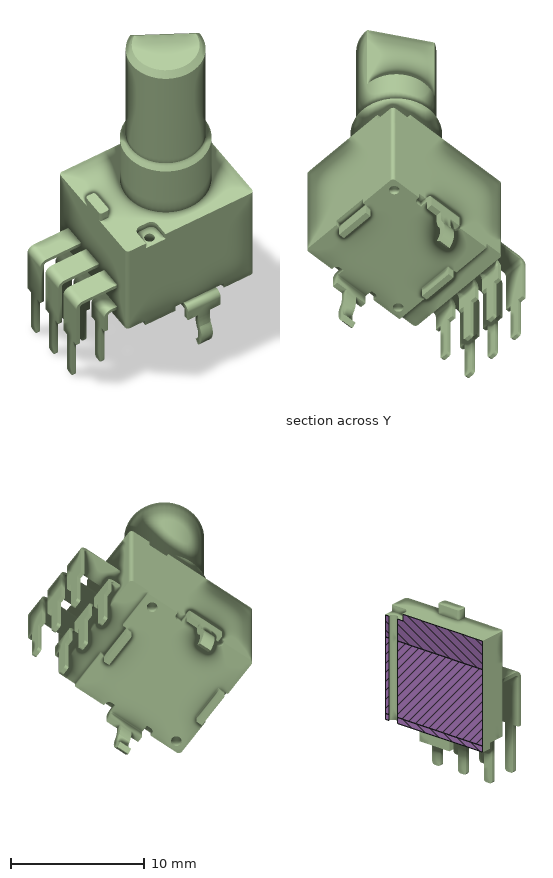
import cadquery as cq
import math


body_width = 9.5
body_rear = 4.85
body_front = -6.5
body_corner_radius = 0.28
housing_top = 6.35
cover_top = 8.7

bushing_diameter = 6.9
bushing_top = 13.75
shaft_diameter = 6.0
shaft_top = 23.7
shaft_top_chamfer = 0.45
flat_bottom = 16.75
flat_distance = shaft_diameter / 4
flat_direction = 150

hole_diameter = 0.8
hole_offset = 4.0
recess_reach = 0.95
recess_width = 1.75
recess_depth = 0.55
recess_corner_radius = 0.55

lug_width = 2.08
lug_depth = 0.83
lug_top = 9.52
lug_corner_radius = 0.2

sheet = 0.48
bend_outer_radius = sheet
bend_inner_radius = 0.09
tab_width = 2.9
tab_bottom = -1.37
tab_face = 4.53
relief_width = 0.7
relief_depth = 0.5
relief_corner_radius = 0.37
clip_width = 1.0
clip_face = 5.4
spring_start = -1.77
clip_span = 11.6
spring_reach = clip_span / 2
spring_radius = 1.7
spring_upper_angle = 34.5
spring_lower_angle = 45

lowest = -4.8
terminal_pitch = 2.5
terminal_thickness = 0.3
terminal_width = 1.8
terminal_bend_radius = 0.6
shoulder_height = -0.8
leg_width = 0.8
leg_tip_radius = 0.23
upper_row_face = -10.15
upper_row_top = 3.8
lower_row_face = upper_row_face + terminal_pitch
lower_row_top = 1.35

half_width = body_width / 2


def box(x_range, y_range, z_range):
    """Block between two X, two Y and two Z positions."""
    size = [high - low for low, high in (x_range, y_range, z_range)]
    corner = (x_range[0], y_range[0], z_range[0])
    return cq.Workplane("XY").box(*size, centered=False).translate(corner)


def cylinder(diameter, bottom, top):
    """Cylinder on the shaft axis."""
    return cq.Workplane("XY").workplane(offset=bottom).circle(diameter / 2).extrude(top - bottom)


def body_block(bottom, top):
    """Round-cornered block with the housing outline."""
    block = box((-half_width, half_width), (body_front, body_rear), (bottom, top))
    return block.edges("|Z").fillet(body_corner_radius)


def corner_holes(bottom, top):
    """Cutters for the two holes in opposite corners."""
    centres = [(-hole_offset, hole_offset), (hole_offset, -hole_offset)]
    plane = cq.Workplane("XY").workplane(offset=bottom)
    return plane.pushPoints(centres).circle(hole_diameter / 2).extrude(top - bottom)


def make_housing():
    return body_block(0, housing_top).cut(corner_holes(0, housing_top))


def left_recess():
    """Cutter for the rear left recess, open to the rear and the left."""
    inner_x = -hole_offset + recess_reach
    inner_y = hole_offset - recess_reach
    recess = box((-half_width, inner_x), (inner_y, body_rear), (cover_top - recess_depth, cover_top))
    return recess.edges("|Z and >X and <Y").fillet(recess_corner_radius)


def right_recess():
    """Cutter for the front right recess, open to the right only."""
    inner_y = -hole_offset + recess_reach
    y_range = (inner_y - recess_width, inner_y)
    inner_x = hole_offset - recess_reach
    recess = box((inner_x, half_width), y_range, (cover_top - recess_depth, cover_top))
    return recess.edges("|Z and <X").fillet(recess_corner_radius)


def make_bushing():
    """Sleeve around the shaft, its top chamfered down to the bore edge."""
    outer_radius = bushing_diameter / 2
    bore_radius = shaft_diameter / 2
    chamfer_start = bushing_top - (outer_radius - bore_radius)
    outline = [
        (bore_radius, cover_top),
        (outer_radius, cover_top),
        (outer_radius, chamfer_start),
        (bore_radius, bushing_top),
    ]
    return cq.Workplane("XZ").polyline(outline).close().revolve(360, (0, 0, 0), (0, 1, 0))


def make_cover():
    """Cover with its bushing, locating lug, corner recesses and shaft bore."""
    cover = body_block(housing_top, cover_top)
    lug = box((-lug_width / 2, lug_width / 2), (body_front, body_front + lug_depth), (cover_top, lug_top))
    lug = lug.edges("|Z").fillet(lug_corner_radius)
    cover = cover.union(make_bushing()).union(lug)
    cover = cover.cut(left_recess()).cut(right_recess())
    cover = cover.cut(corner_holes(housing_top, cover_top))
    return cover.cut(cylinder(shaft_diameter, housing_top, cover_top))


def make_shaft():
    """Shaft with one flat, chamfered around its D-shaped end."""
    shaft = cylinder(shaft_diameter, housing_top, shaft_top)
    flat = box((flat_distance, shaft_diameter), (-shaft_diameter, shaft_diameter), (flat_bottom, shaft_top))
    shaft = shaft.cut(flat.rotate((0, 0, 0), (0, 0, 1), flat_direction))
    return shaft.faces(">Z").chamfer(shaft_top_chamfer)


def bent_tab(inner, face):
    """Sheet running along +X from inner, then bent down with its outer side at face."""
    arm = box((inner, face), (-tab_width / 2, tab_width / 2), (-sheet, 0))
    tab = box((face - sheet, face), (-tab_width / 2, tab_width / 2), (tab_bottom, 0))
    bent = arm.union(tab)
    bent = bent.edges("|Y and >X and >Z").fillet(bend_outer_radius)
    inside_corner = cq.selectors.NearestToPointSelector((face - sheet, 0, -sheet))
    return bent.edges(inside_corner).fillet(bend_inner_radius)


def clip_spring():
    """S-shaped spring leg below the right clip tab."""
    inner_radius = spring_radius - sheet
    centre_x = spring_reach - spring_radius
    centre_z = lowest + spring_radius * math.sin(math.radians(spring_lower_angle))

    def on_bow(radius, angle):
        turn = math.radians(angle)
        return (centre_x + radius * math.cos(turn), centre_z + radius * math.sin(turn))

    profile = (
        cq.Workplane("XZ", origin=(0, clip_width / 2, 0))
        .moveTo(clip_face, tab_bottom)
        .lineTo(clip_face, spring_start)
        .tangentArcPoint(on_bow(spring_radius, spring_upper_angle), relative=False)
        .threePointArc(on_bow(spring_radius, 0), on_bow(spring_radius, -spring_lower_angle))
        .lineTo(*on_bow(inner_radius, -spring_lower_angle))
        .threePointArc(on_bow(inner_radius, 0), on_bow(inner_radius, spring_upper_angle))
    )
    end_x, end_z = on_bow(inner_radius, spring_upper_angle)
    inner_face = clip_face - sheet
    shift = end_x - inner_face
    drop = spring_start - end_z
    blend_radius = (shift**2 + drop**2) / (2 * shift)
    profile = profile.radiusArc((inner_face, spring_start), blend_radius)
    return profile.lineTo(inner_face, tab_bottom).close().extrude(clip_width)


def side_relief():
    """Cutter in the right plate edge, leaving room on both sides of the clip."""
    half = tab_width / 2 + relief_width
    relief = box((half_width - relief_depth, half_width), (-half, half), (-sheet, 0))
    return relief.edges("|Z and <X").fillet(relief_corner_radius)


def make_bracket():
    """Bracket plate with two end tabs and two mounting clips."""
    plate = box((-half_width, half_width), (-body_rear, body_rear), (-sheet, 0))
    plate = plate.edges("|Z and >Y").fillet(body_corner_radius)
    tab_root = tab_face - 2 * sheet
    clip_root = half_width - relief_depth
    end_notch = box((tab_root, body_rear), (-tab_width / 2, tab_width / 2), (-sheet, 0))
    end_tab = bent_tab(tab_root, tab_face)
    clip = bent_tab(clip_root, clip_face).union(clip_spring())

    def turned(shape, angle):
        return shape.rotate((0, 0, 0), (0, 0, 1), angle)

    for angle in (0, 180):
        plate = plate.cut(turned(side_relief(), angle)).union(turned(clip, angle))
    for angle in (90, 270):
        plate = plate.cut(turned(end_notch, angle)).union(turned(end_tab, angle))
    return plate.cut(corner_holes(-sheet, 0))


def make_terminal(x, face, top):
    """Flat terminal leaving the housing front and bent down into a narrow leg."""
    inner_radius = terminal_bend_radius - terminal_thickness
    strip = (
        cq.Workplane("YZ", origin=(x - terminal_width / 2, 0, 0))
        .moveTo(body_front, top)
        .lineTo(face + terminal_bend_radius, top)
        .radiusArc((face, top - terminal_bend_radius), -terminal_bend_radius)
        .lineTo(face, shoulder_height)
        .lineTo(face + terminal_thickness, shoulder_height)
        .lineTo(face + terminal_thickness, top - terminal_bend_radius)
        .radiusArc((face + terminal_bend_radius, top - terminal_thickness), inner_radius)
        .lineTo(body_front, top - terminal_thickness)
        .close()
        .extrude(terminal_width)
    )
    leg_sides = (x - leg_width / 2, x + leg_width / 2)
    leg = box(leg_sides, (face, face + terminal_thickness), (lowest, shoulder_height))
    leg = leg.edges("|Y and <Z").fillet(leg_tip_radius)
    return strip.union(leg)


housing = make_housing()
cover = make_cover()
shaft = make_shaft()
bracket = make_bracket()

terminals = []
for row_face, row_top in ((upper_row_face, upper_row_top), (lower_row_face, lower_row_top)):
    for column in (-1, 0, 1):
        terminals.append(make_terminal(column * terminal_pitch, row_face, row_top).val())

result = cq.Compound.makeCompound(
    [housing.val(), cover.val(), shaft.val(), bracket.val(), *terminals]
)